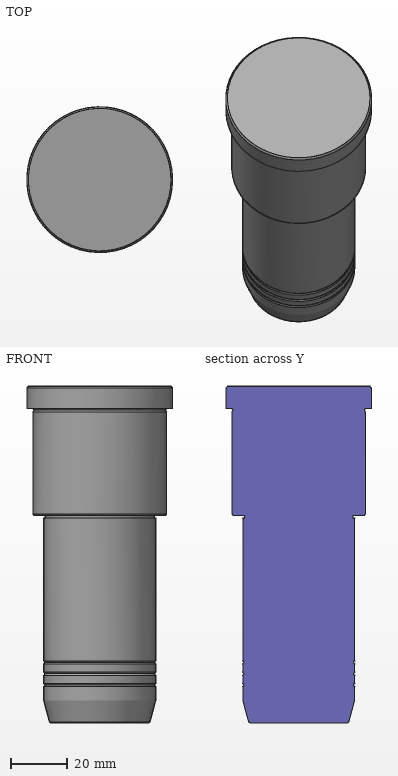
import cadquery as cq
import math

total_length = 120.0
head_diameter = 52.0
head_height = 8.0
body_diameter = 47.8
body_length = 38.0
shank_diameter = 40.0

head_chamfer = 0.6
body_chamfer = 0.5
tip_chamfer = 0.5

relief_width = 1.0
relief_depth = 0.5

tip_length = 8.0
tip_angle = 15.0

groove_count = 3
groove_width = 1.1
groove_depth = 0.5
groove_pitch = 4.1
first_groove_bottom = 13.0

head_bottom = total_length - head_height
body_bottom = head_bottom - body_length
tip_diameter = shank_diameter - 2 * tip_length * math.tan(math.radians(tip_angle))


def cylinder(diameter, bottom, top):
    return cq.Workplane("XY").workplane(offset=bottom).circle(diameter / 2).extrude(top - bottom)


def relief_ring():
    """Square ring cut into the shank directly below the body."""
    return (
        cq.Workplane("XY")
        .workplane(offset=body_bottom - relief_width)
        .circle(body_diameter / 2)
        .circle(shank_diameter / 2 - relief_depth)
        .extrude(relief_width)
    )


def vee_ring(diameter, bottom):
    """V-shaped ring cut into a cylinder of the given diameter."""
    radius = diameter / 2
    return (
        cq.Workplane("XZ")
        .moveTo(radius, bottom)
        .lineTo(radius - groove_depth, bottom + groove_width / 2)
        .lineTo(radius, bottom + groove_width)
        .close()
        .revolve(360, (0, 0, 0), (0, 1, 0))
    )


def tapered_tip():
    tip = (
        cq.Workplane("XY")
        .circle(tip_diameter / 2)
        .workplane(offset=tip_length)
        .circle(shank_diameter / 2)
        .loft()
    )
    return tip.faces("<Z").edges().chamfer(tip_chamfer)


head = cylinder(head_diameter, head_bottom, total_length).faces(">Z").edges().chamfer(head_chamfer)
body = cylinder(body_diameter, body_bottom, head_bottom).faces("<Z").edges().chamfer(body_chamfer)
shank = cylinder(shank_diameter, tip_length, body_bottom)

result = head.union(body).union(shank).union(tapered_tip())

result = result.cut(relief_ring())
result = result.cut(vee_ring(body_diameter, head_bottom - groove_width))

for index in range(groove_count):
    result = result.cut(vee_ring(shank_diameter, first_groove_bottom + index * groove_pitch))